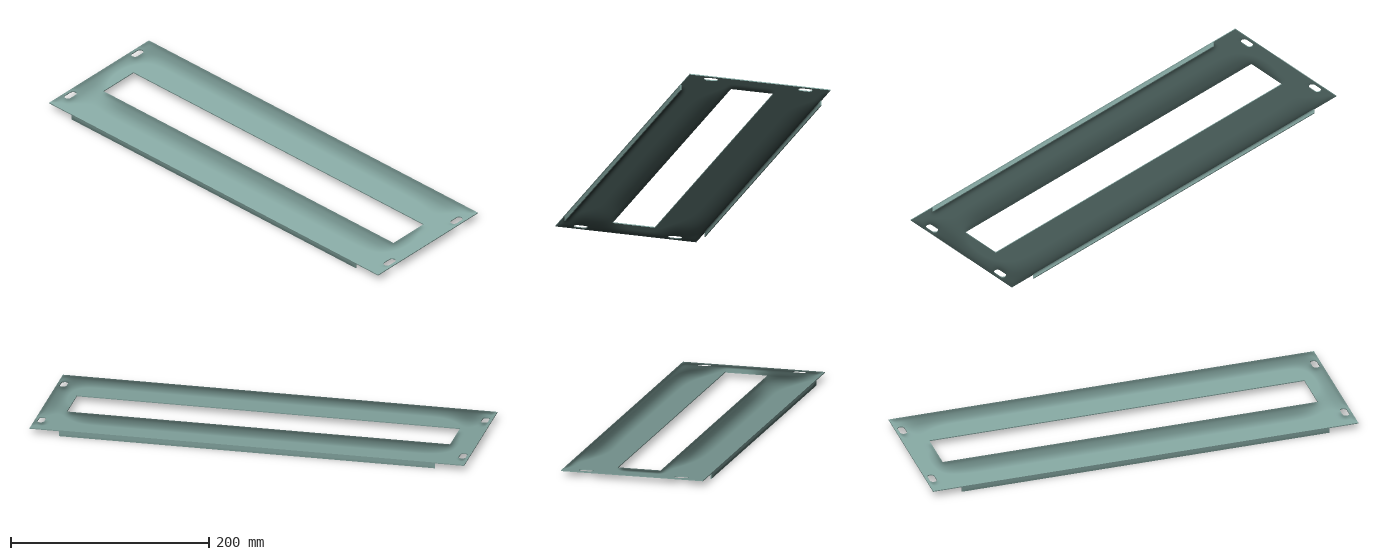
import cadquery as cq

length = 450.0
width = 149.0
height = 6.5
thickness = 1.0

window_length = 397.0
window_width = 45.0

slot_length = 15.0
slot_width = 7.0
slot_spacing_x = 436.5
slot_spacing_y = 100.0

flange_length = 389.2


def make_plate():
    """Flat plate with its top face at Z = 0."""
    return cq.Workplane("XY").box(length, width, thickness, centered=(True, True, False)).translate(
        (0, 0, -thickness)
    )


def make_flange(side):
    """Flange flush with the long edge on the given Y side (-1 or 1)."""
    center_y = side * (width - thickness) / 2
    return cq.Workplane("XY").box(flange_length, thickness, height, centered=(True, True, False)).translate(
        (0, center_y, -height)
    )


def cut_window(body):
    return body.cut(cq.Workplane("XY").rect(window_length, window_width).extrude(-thickness))


def cut_slots(body):
    slots = (
        cq.Workplane("XY")
        .rect(slot_spacing_x, slot_spacing_y, forConstruction=True)
        .vertices()
        .slot2D(slot_length, slot_width, 90)
        .extrude(-thickness)
    )
    return body.cut(slots)


body = make_plate()
for side in (-1, 1):
    body = body.union(make_flange(side))

result = cut_slots(cut_window(body))